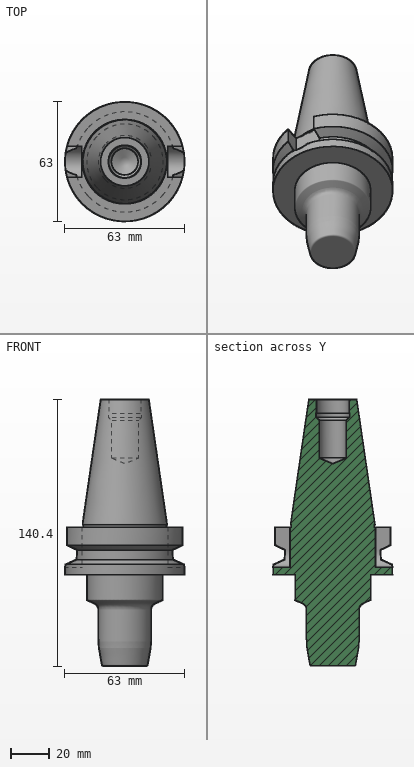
import cadquery as cq
import math

total_height = 140.4

taper_length = 65.4
taper_large_diameter = 44.5
taper_ratio = 7 / 24
neck_diameter = 44.0
rim_height = 0.5

flange_diameter = 63.0
flange_top = 73.1
flange_bottom = 48.0
groove_diameter = 53.0
groove_floor_width = 5.0
groove_flank_height = 2.5
groove_center = 58.5

slot_width = 16.3
slot_depth = 21.0
slot_floor_distance = 22.6

shoulder_diameter = 40.0
shoulder_bottom = 34.7
shoulder_edge_radius = 0.7
shoulder_cone_angle = 24.0
shoulder_fillet = 3.4
nose_diameter = 28.0
nose_taper_start = 13.0
nose_bend_height = 9.5
nose_bend_diameter = 27.4
tip_diameter = 24.0
tip_radius = 1.0

bore_diameter = 17.0
bore_depth = 7.3
relief_diameter = 17.4
relief_bottom_depth = 9.4
drill_diameter = 14.0
drill_depth = 30.9
lead_in_angle = 45.0
drill_point_angle = 135.0


def make_body():
    taper_bottom = total_height - taper_length
    taper_small_diameter = taper_large_diameter - taper_length * taper_ratio
    rim_bottom = taper_bottom - rim_height
    floor_top = groove_center + groove_floor_width / 2
    floor_bottom = groove_center - groove_floor_width / 2
    cone_height = (shoulder_diameter - nose_diameter) / 2 * math.tan(math.radians(shoulder_cone_angle))
    cone_bottom = shoulder_bottom - cone_height
    profile = [
        (0, 0),
        (tip_diameter / 2, 0),
        (nose_bend_diameter / 2, nose_bend_height),
        (nose_diameter / 2, nose_taper_start),
        (nose_diameter / 2, cone_bottom),
        (shoulder_diameter / 2, shoulder_bottom),
        (shoulder_diameter / 2, flange_bottom),
        (flange_diameter / 2, flange_bottom),
        (flange_diameter / 2, floor_bottom - groove_flank_height),
        (groove_diameter / 2, floor_bottom),
        (groove_diameter / 2, floor_top),
        (flange_diameter / 2, floor_top + groove_flank_height),
        (flange_diameter / 2, flange_top),
        (neck_diameter / 2, flange_top),
        (neck_diameter / 2, rim_bottom),
        (taper_large_diameter / 2, rim_bottom),
        (taper_large_diameter / 2, taper_bottom),
        (taper_small_diameter / 2, total_height),
        (0, total_height),
    ]
    body = cq.Workplane("XZ").polyline(profile).close().revolve(360, (0, 0, 0), (0, 1, 0))

    def edge_at(diameter, height):
        reach = diameter / 2 + 0.1
        return cq.selectors.BoxSelector(
            (-reach, -reach, height - 0.1), (reach, reach, height + 0.1), boundingbox=True
        )

    body = body.edges(edge_at(nose_diameter, cone_bottom)).fillet(shoulder_fillet)
    body = body.edges(edge_at(shoulder_diameter, shoulder_bottom)).fillet(shoulder_edge_radius)
    return body.edges(edge_at(tip_diameter, 0)).fillet(tip_radius)


def make_drive_slot(side):
    """Slot with a round lower end, open upward and outward; side is -1 or 1."""
    half_width = slot_width / 2
    slot_bottom = flange_top - slot_depth
    arc_center = slot_bottom + half_width
    return (
        cq.Workplane("YZ", origin=(side * slot_floor_distance, 0, 0))
        .moveTo(-half_width, flange_top)
        .lineTo(-half_width, arc_center)
        .threePointArc((0, slot_bottom), (half_width, arc_center))
        .lineTo(half_width, flange_top)
        .close()
        .extrude(side * flange_diameter / 2)
    )


def make_drawbar_bore():
    bore_bottom = total_height - bore_depth
    relief_bottom = total_height - relief_bottom_depth
    drill_bottom = total_height - drill_depth
    lead_in_height = (relief_diameter - drill_diameter) / 2 * math.tan(math.radians(lead_in_angle))
    drill_top = relief_bottom - lead_in_height
    point_height = drill_diameter / 2 / math.tan(math.radians(drill_point_angle / 2))
    profile = [
        (0, total_height),
        (bore_diameter / 2, total_height),
        (bore_diameter / 2, bore_bottom),
        (relief_diameter / 2, bore_bottom),
        (relief_diameter / 2, relief_bottom),
        (drill_diameter / 2, drill_top),
        (drill_diameter / 2, drill_bottom),
        (0, drill_bottom - point_height),
    ]
    return cq.Workplane("XZ").polyline(profile).close().revolve(360, (0, 0, 0), (0, 1, 0))


result = make_body()
for side in (-1, 1):
    result = result.cut(make_drive_slot(side))
result = result.cut(make_drawbar_bore())